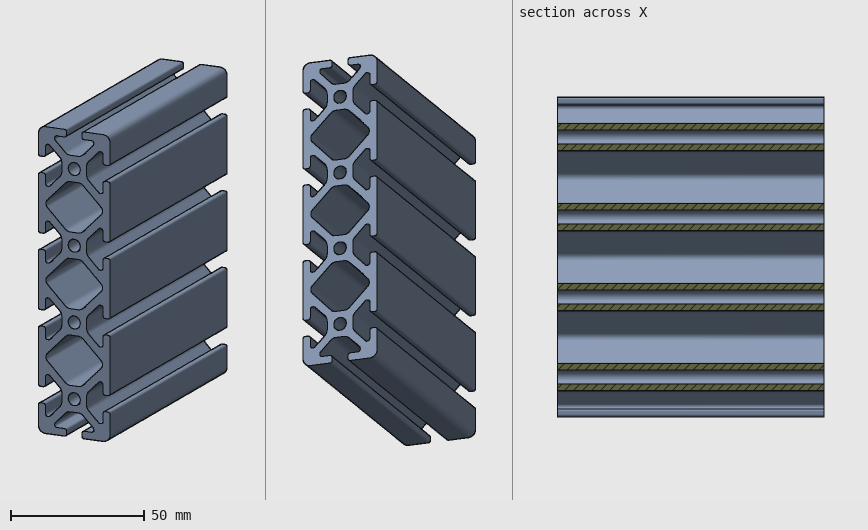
import cadquery as cq
import math

cell = 30.0
cell_count = 4
length = 100.0

outer_radius = 3.0
bore_diameter = 5.0
core_half = 5.2
web_thickness = 3.2
wall = 3.0

slot_gap = 6.4
slot_half_width = 8.2
lip_radius = 1.0
slot_corner_radius = 1.0
floor_radius = 3.1
cavity_side_radius = 2.2

half_cell = cell / 2
height = cell * cell_count
half_gap = slot_gap / 2
lip_back = half_cell - wall
web_offset = web_thickness / math.sqrt(2)
floor_half_width = core_half - web_offset
bore_heights = [cell * (i - (cell_count - 1) / 2) for i in range(cell_count)]
cavity_heights = [z + half_cell for z in bore_heights[:-1]]
match_distance = 0.06


def at_height(cutter, z):
    return cutter.translate((0, 0, z))


def edges_at(solid, points):
    """Edges along Y that pass through the given (x, z) points."""

    def is_chosen(edge):
        center = edge.Center()
        return any(math.hypot(center.x - x, center.z - z) < match_distance for x, z in points)

    return solid.edges("|Y").filter(is_chosen)


def mirrored(x, z):
    return [(x, z), (-x, z)]


def prism(points):
    return cq.Workplane("XZ").polyline(points).close().extrude(length / 2, both=True)


def make_slot():
    """T-slot opening toward +Z, with its cell's bore axis at the origin."""
    diagonal_end = slot_half_width + web_offset
    right_side = [
        (floor_half_width, core_half),
        (slot_half_width, diagonal_end),
        (slot_half_width, lip_back),
        (half_gap, lip_back),
        (half_gap, half_cell),
    ]
    left_side = [(-x, z) for x, z in reversed(right_side)]
    slot = prism(right_side + left_side)
    slot = edges_at(slot, mirrored(floor_half_width, core_half)).fillet(floor_radius)
    back_corners = mirrored(slot_half_width, lip_back) + mirrored(slot_half_width, diagonal_end)
    return edges_at(slot, back_corners).fillet(slot_corner_radius)


def make_cavity():
    """Rounded diamond between two neighbouring cells, centred on the origin."""
    side = half_cell - web_offset
    top = half_cell - core_half
    corners = [
        (side, 0),
        (floor_half_width, top),
        (-floor_half_width, top),
        (-side, 0),
        (-floor_half_width, -top),
        (floor_half_width, -top),
    ]
    cavity = prism(corners)
    cavity = edges_at(cavity, mirrored(side, 0)).fillet(cavity_side_radius)
    inner_corners = mirrored(floor_half_width, top) + mirrored(floor_half_width, -top)
    return edges_at(cavity, inner_corners).fillet(floor_radius)


def turned(slot, angle):
    return slot.rotate((0, 0, 0), (0, 1, 0), angle)


def lip_corners():
    """(x, z) of every lip edge to round, on the outside and behind each lip."""
    end_face = height / 2
    corners = []
    for depth in (0, wall):
        for z in (end_face - depth, depth - end_face):
            corners += mirrored(half_gap, z)
        for bore_z in bore_heights:
            for z in (bore_z - half_gap, bore_z + half_gap):
                corners += mirrored(half_cell - depth, z)
    return corners


body = cq.Workplane("XY").box(cell, length, height).edges("|Y").fillet(outer_radius)

slot = make_slot()
for bore_z in bore_heights:
    body = body.cut(at_height(turned(slot, 90), bore_z))
    body = body.cut(at_height(turned(slot, -90), bore_z))
body = body.cut(at_height(slot, bore_heights[-1]))
body = body.cut(at_height(turned(slot, 180), bore_heights[0]))

cavity = make_cavity()
for cavity_z in cavity_heights:
    body = body.cut(at_height(cavity, cavity_z))

bores = [(0, z) for z in bore_heights]
body = body.cut(
    cq.Workplane("XZ").pushPoints(bores).circle(bore_diameter / 2).extrude(length / 2, both=True)
)

result = edges_at(body, lip_corners()).fillet(lip_radius)